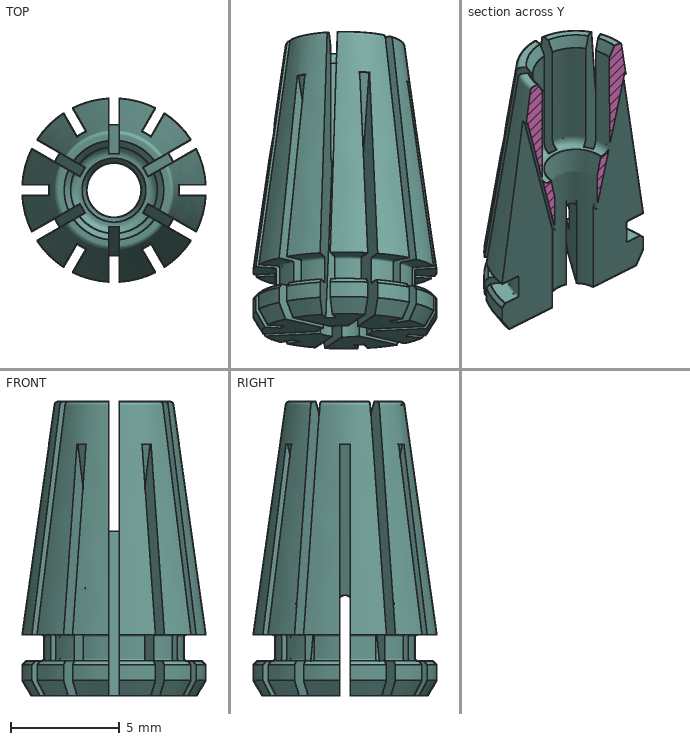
import cadquery as cq
import math

height = 13.6
collar_radius = 4.25

collar_bottom_radius = 3.82
collar_bevel_height = 0.72
collar_top_chamfer = 0.19
collar_height = 1.62

neck_radius = 3.25
neck_fillet = 0.1
cone_base_z = 2.82

cone_half_angle = math.radians(8)
cone_top_radius = collar_radius - (height - cone_base_z) * math.tan(cone_half_angle)
nose_fillet = 0.2

bore_radius = 1.25
bore_mouth_radius = 1.475
bore_mouth_depth = 1.1
shelf_z = 7.6
counterbore_radius = 2.0
counterbore_fillet = 0.4
counterbore_mouth_radius = 2.3
counterbore_mouth_angle = math.radians(30)
counterbore_mouth_widening = counterbore_mouth_radius - counterbore_radius
counterbore_mouth_depth = counterbore_mouth_widening / math.tan(counterbore_mouth_angle)

slots_per_end = 6
slot_pitch = 360 / slots_per_end
slot_width = 0.48
slot_reach = collar_radius + 1

lower_slot_top_z = 11.63
lower_slot_top_radius = 2.92
lower_slot_bore_z = 4.65
lower_slot_slope = (lower_slot_top_radius - bore_radius) / (lower_slot_top_z - lower_slot_bore_z)
lower_slot_bottom_radius = lower_slot_top_radius - lower_slot_slope * lower_slot_top_z

upper_slot_bottom_radius = 3.03
upper_slot_shelf_radius = 1.68
upper_slot_slope = (upper_slot_bottom_radius - upper_slot_shelf_radius) / shelf_z
upper_slot_top_radius = upper_slot_bottom_radius - upper_slot_slope * height


def make_body():
    """Revolved collet outline: collar, groove and cone with a rounded nose."""
    outline = [
        (0, 0),
        (collar_bottom_radius, 0),
        (collar_radius, collar_bevel_height),
        (collar_radius, collar_height - collar_top_chamfer),
        (collar_radius - collar_top_chamfer, collar_height),
        (neck_radius, collar_height),
        (neck_radius, cone_base_z),
        (collar_radius, cone_base_z),
        (cone_top_radius, height),
        (0, height),
    ]
    body = cq.Workplane("XZ").polyline(outline).close().revolve(360, (0, 0), (0, 1))
    body = body.faces(">Z").edges().fillet(nose_fillet)
    zone_radius = neck_radius + neck_fillet
    neck_zone = cq.selectors.BoxSelector(
        (-zone_radius, -zone_radius, collar_height - neck_fillet),
        (zone_radius, zone_radius, cone_base_z + neck_fillet),
        boundingbox=True,
    )
    return body.edges(neck_zone).edges("%CIRCLE").fillet(neck_fillet)


def make_bore():
    """Through bore with a conical mouth, opening into a round-bottomed counterbore."""
    fillet_start = counterbore_radius - counterbore_fillet
    fillet_offset = counterbore_fillet * math.sin(math.radians(45))
    return (
        cq.Workplane("XZ")
        .lineTo(bore_radius, 0)
        .lineTo(bore_radius, shelf_z - bore_mouth_depth)
        .lineTo(bore_mouth_radius, shelf_z)
        .lineTo(fillet_start, shelf_z)
        .threePointArc(
            (fillet_start + fillet_offset, shelf_z + counterbore_fillet - fillet_offset),
            (counterbore_radius, shelf_z + counterbore_fillet),
        )
        .lineTo(counterbore_radius, height - counterbore_mouth_depth)
        .lineTo(counterbore_mouth_radius, height)
        .lineTo(0, height)
        .close()
        .revolve(360, (0, 0), (0, 1))
    )


def cut_slots(part, side_outline, first_angle):
    """Cut a ring of radial slots with the given radius-height outline."""
    slot = cq.Workplane("XZ").polyline(side_outline).close().extrude(slot_width / 2, both=True)
    for index in range(slots_per_end):
        angle = first_angle + index * slot_pitch
        part = part.cut(slot.rotate((0, 0, 0), (0, 0, 1), angle))
    return part


lower_slot_outline = [
    (lower_slot_bottom_radius, 0),
    (slot_reach, 0),
    (slot_reach, lower_slot_top_z),
    (lower_slot_top_radius, lower_slot_top_z),
]
upper_slot_outline = [
    (upper_slot_bottom_radius, 0),
    (slot_reach, 0),
    (slot_reach, height),
    (upper_slot_top_radius, height),
]

result = make_body().cut(make_bore())
result = cut_slots(result, lower_slot_outline, 0)
result = cut_slots(result, upper_slot_outline, slot_pitch / 2)